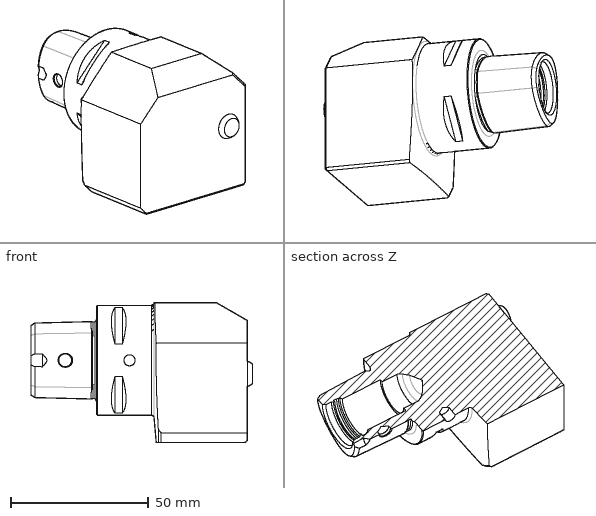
import cadquery as cq
import math


SHANK_LENGTH = 24.0
SHANK_RADIUS = 14.05
SHANK_LOBE_HEIGHT = 1.0
SHANK_TAPER = 0.025
LOBE_HALF_ANGLE = 20
TIP_CHAMFER_LENGTH = 1.45
TIP_CHAMFER_DEPTH = 1.0
NECK_START = 1.85
NECK_LEAD = 0.4
NECK_DEPTH = 0.2

GROOVE_LENGTH = 2.1
GROOVE_RADIUS = 14.1
GROOVE_LEAD = 0.8

FLANGE_RADIUS = 20.0
FLANGE_LENGTH = 19.9
FLANGE_CHAMFER = 0.3
COLLAR_HEIGHT = 0.6
COLLAR_FOOT_RADIUS = 15.75
HEAD_FILLET = 1.0

HEAD_END = 54.9
HEAD_NEAR_SIDE = FLANGE_RADIUS + HEAD_FILLET
HEAD_FAR_SIDE = 30.0
HEAD_CONE_ANGLE = 5
REAR_TOP_BEVEL = 12.1
FRONT_TOP_BEVEL = 14.8
FRONT_BOTTOM_BEVEL = 3.5
SMALL_CHAMFER = 1.0
END_CHAMFER = 0.8
SLOPE_START = 43.6
SLOPE_ANGLE = 30

SLOT_X = 8.0
SLOT_FLOOR_RADIUS = 17.7
SLOT_FLOOR_WIDTH = 2.7
SLOT_FLARE_ANGLE = 30
SLOT_DIRECTIONS = (45, 135, 225, 315)

DRILL_POINT_ANGLE = 118
SHANK_HOLE_X = -11.5
SHANK_HOLE_RADIUS = 2.35
SHANK_HOLE_FLOOR_Y = -11.3
SHANK_HOLE_CHAMFER = 0.3
FLANGE_HOLE_X = 11.95
FLANGE_HOLE_RADIUS = 2.0
FLANGE_HOLE_DEPTH = 4.0

NOTCH_RADIUS = 2.6
NOTCH_Y = -13.6
NOTCH_LENGTH = 4.2

BORE_MOUTH_RADIUS = 10.2
BORE_MOUTH_CHAMFER = 1.05
BORE_ENTRY_RADIUS = 9.45
BORE_ENTRY_END = -20.5
BORE_LAND_RADIUS = 8.9
BORE_LAND_START = -19.95
BORE_GROOVE_START = -19.4
BORE_GROOVE_RADIUS = 9.6
BORE_GROOVE_END = -18.2
BORE_STEP_START = -17.5
BORE_STEP_RADIUS = 9.4
BORE_STEP_END = -16.9
BORE_START = -16.5
BORE_RADIUS = 8.4
BORE_FLOOR_X = 0
PILOT_RADIUS = 7.2
PILOT_END = 6.5
DRILL_RADIUS = 6.2
DRILL_LEAD_ANGLE = 30
DRILL_FLAT_RADIUS = 4.3

NOZZLE_Y = 12.1
NOZZLE_Z = -4.9
NOZZLE_RADIUS = 4.85
NOZZLE_DEPTH = 1.4
NOZZLE_HEIGHT = 1.9


def drill_point_length(radius):
    return radius / math.tan(math.radians(DRILL_POINT_ANGLE / 2))


def revolve_about_x(outline):
    """Turn a closed (x, radius) outline about the X axis."""
    return outline.close().revolve(360, (0, 0, 0), (1, 0, 0))


def shank_section(x, inset=0.0):
    """Closed rounded triangle across the axis, one lobe towards +Y."""
    radius = SHANK_RADIUS + SHANK_TAPER * x - inset

    def point(degrees):
        angle = math.radians(degrees)
        y = radius * math.cos(angle) + SHANK_LOBE_HEIGHT * math.cos(2 * angle)
        z = radius * math.sin(angle) - SHANK_LOBE_HEIGHT * math.sin(2 * angle)
        return cq.Vector(x, y, z)

    def arc(start, end, steps=8):
        points = [point(start + (end - start) * i / steps) for i in range(steps + 1)]
        return cq.Edge.makeSpline(points)

    edges = []
    for lobe in (0, 120, 240):
        lobe_end = lobe + LOBE_HALF_ANGLE
        edges.append(arc(lobe - LOBE_HALF_ANGLE, lobe_end))
        edges.append(arc(lobe_end, lobe + 120 - LOBE_HALF_ANGLE))
    return cq.Wire.assembleEdges(edges)


def make_shank():
    sections = [
        shank_section(-SHANK_LENGTH, TIP_CHAMFER_DEPTH),
        shank_section(-SHANK_LENGTH + TIP_CHAMFER_LENGTH),
        shank_section(-NECK_START),
        shank_section(-NECK_START + NECK_LEAD, NECK_DEPTH),
        shank_section(0, NECK_DEPTH),
    ]
    shank = cq.Workplane(cq.Solid.makeLoft(sections, True))
    groove = revolve_about_x(
        cq.Workplane("XY")
        .moveTo(-GROOVE_LENGTH, GROOVE_RADIUS + GROOVE_LEAD)
        .lineTo(-GROOVE_LENGTH + GROOVE_LEAD, GROOVE_RADIUS)
        .lineTo(0, GROOVE_RADIUS)
        .lineTo(0, FLANGE_RADIUS)
        .lineTo(-GROOVE_LENGTH, FLANGE_RADIUS)
    )
    return shank.cut(groove)


def make_turned_envelope():
    """Collar, flange and the cone behind it, wide enough to hold the whole head."""
    rim_radius = 2 * HEAD_FAR_SIDE
    fillet_end = FLANGE_LENGTH + HEAD_FILLET
    rim_x = fillet_end + (rim_radius - HEAD_NEAR_SIDE) * math.tan(math.radians(HEAD_CONE_ANGLE))
    fillet_offset = HEAD_FILLET * math.sqrt(0.5)
    return revolve_about_x(
        cq.Workplane("XY")
        .moveTo(-COLLAR_HEIGHT, 0)
        .lineTo(HEAD_END, 0)
        .lineTo(HEAD_END, rim_radius)
        .lineTo(rim_x, rim_radius)
        .lineTo(fillet_end, HEAD_NEAR_SIDE)
        .threePointArc(
            (FLANGE_LENGTH + fillet_offset, HEAD_NEAR_SIDE - fillet_offset),
            (FLANGE_LENGTH, FLANGE_RADIUS),
        )
        .lineTo(FLANGE_CHAMFER, FLANGE_RADIUS)
        .lineTo(0, FLANGE_RADIUS - FLANGE_CHAMFER)
        .lineTo(0, COLLAR_FOOT_RADIUS)
        .tangentArcPoint((-COLLAR_HEIGHT, GROOVE_RADIUS), relative=False)
    )


def make_head_prism():
    near = HEAD_NEAR_SIDE
    far = -HEAD_FAR_SIDE
    outline = [
        (near, far + SMALL_CHAMFER),
        (near, near - REAR_TOP_BEVEL),
        (near - REAR_TOP_BEVEL, near),
        (far + FRONT_TOP_BEVEL, near),
        (far, near - FRONT_TOP_BEVEL),
        (far, far + FRONT_BOTTOM_BEVEL),
        (far + FRONT_BOTTOM_BEVEL, far),
        (near - SMALL_CHAMFER, far),
    ]
    return (
        cq.Workplane("YZ", origin=(-COLLAR_HEIGHT, 0, 0))
        .polyline(outline)
        .close()
        .extrude(COLLAR_HEIGHT + HEAD_END)
    )


def make_flange_and_head():
    body = make_turned_envelope().intersect(make_head_prism())
    body = body.faces("<(0,1,1)").edges("<X").chamfer(SMALL_CHAMFER)
    body = body.faces(">X").edges(">Y or <Z or >(0,1,1) or >(0,1,-1)").chamfer(END_CHAMFER)

    slope_length = HEAD_END - SLOPE_START
    slope_drop = slope_length * math.tan(math.radians(SLOPE_ANGLE))
    slope_cut = (
        cq.Workplane("XZ")
        .moveTo(SLOPE_START, HEAD_NEAR_SIDE)
        .lineTo(HEAD_END, HEAD_NEAR_SIDE - slope_drop)
        .lineTo(HEAD_END, HEAD_NEAR_SIDE)
        .close()
        .extrude(HEAD_FAR_SIDE, both=True)
    )
    return body.cut(slope_cut)


def gripper_slot(direction):
    """V-sided groove with a flat floor, square to the given direction around X."""
    depth = FLANGE_RADIUS - SLOT_FLOOR_RADIUS
    floor_half = SLOT_FLOOR_WIDTH / 2
    top_half = floor_half + depth * math.tan(math.radians(SLOT_FLARE_ANGLE))
    return (
        cq.Workplane("XZ")
        .polyline([
            (SLOT_X - floor_half, SLOT_FLOOR_RADIUS),
            (SLOT_X + floor_half, SLOT_FLOOR_RADIUS),
            (SLOT_X + top_half, FLANGE_RADIUS),
            (SLOT_X - top_half, FLANGE_RADIUS),
        ])
        .close()
        .extrude(FLANGE_RADIUS, both=True)
        .rotate((0, 0, 0), (1, 0, 0), direction)
    )


def side_hole(x, radius, floor_y):
    """Hole drilled from the -Y side, with a conical bottom beyond floor_y."""
    return (
        cq.Workplane("XY")
        .moveTo(x, -FLANGE_RADIUS)
        .lineTo(x + radius, -FLANGE_RADIUS)
        .lineTo(x + radius, floor_y)
        .lineTo(x, floor_y + drill_point_length(radius))
        .close()
        .revolve(360, (x, 0, 0), (x, 1, 0))
    )


def shank_hole_chamfer():
    """45 degree cone at the mouth of the hole in the flat side of the shank."""
    side_y = -(SHANK_RADIUS + SHANK_TAPER * SHANK_HOLE_X - SHANK_LOBE_HEIGHT)
    mouth_radius = SHANK_HOLE_RADIUS + SHANK_HOLE_CHAMFER
    return (
        cq.Workplane("XY")
        .moveTo(SHANK_HOLE_X, side_y - SHANK_HOLE_CHAMFER)
        .lineTo(SHANK_HOLE_X + mouth_radius + SHANK_HOLE_CHAMFER, side_y - SHANK_HOLE_CHAMFER)
        .lineTo(SHANK_HOLE_X, side_y + mouth_radius)
        .close()
        .revolve(360, (SHANK_HOLE_X, 0, 0), (SHANK_HOLE_X, 1, 0))
    )


def tip_notch():
    """Axial round notch that ends in a 90 degree cone."""
    end_x = -SHANK_LENGTH + NOTCH_LENGTH
    return (
        cq.Workplane("XY")
        .moveTo(-SHANK_LENGTH, NOTCH_Y)
        .lineTo(-SHANK_LENGTH, NOTCH_Y + NOTCH_RADIUS)
        .lineTo(end_x, NOTCH_Y + NOTCH_RADIUS)
        .lineTo(end_x + NOTCH_RADIUS, NOTCH_Y)
        .close()
        .revolve(360, (0, NOTCH_Y, 0), (1, NOTCH_Y, 0))
    )


def stepped_bore():
    lead_length = (PILOT_RADIUS - DRILL_RADIUS) / math.tan(math.radians(DRILL_LEAD_ANGLE))
    drill_cone_start = PILOT_END + lead_length
    drill_cone_end = drill_cone_start + DRILL_RADIUS - DRILL_FLAT_RADIUS
    return revolve_about_x(
        cq.Workplane("XZ")
        .moveTo(-SHANK_LENGTH, 0)
        .lineTo(-SHANK_LENGTH, BORE_MOUTH_RADIUS)
        .lineTo(-SHANK_LENGTH + BORE_MOUTH_CHAMFER, BORE_ENTRY_RADIUS)
        .lineTo(BORE_ENTRY_END, BORE_ENTRY_RADIUS)
        .lineTo(BORE_LAND_START, BORE_LAND_RADIUS)
        .lineTo(BORE_GROOVE_START, BORE_LAND_RADIUS)
        .lineTo(BORE_GROOVE_START, BORE_GROOVE_RADIUS)
        .lineTo(BORE_GROOVE_END, BORE_GROOVE_RADIUS)
        .lineTo(BORE_STEP_START, BORE_STEP_RADIUS)
        .lineTo(BORE_STEP_END, BORE_STEP_RADIUS)
        .lineTo(BORE_START, BORE_RADIUS)
        .lineTo(BORE_FLOOR_X, BORE_RADIUS)
        .lineTo(BORE_FLOOR_X, PILOT_RADIUS)
        .lineTo(PILOT_END, PILOT_RADIUS)
        .lineTo(drill_cone_start, DRILL_RADIUS)
        .lineTo(drill_cone_end, DRILL_FLAT_RADIUS)
        .lineTo(drill_cone_end + drill_point_length(DRILL_FLAT_RADIUS), 0)
    )


def make_nozzle():
    """Ball with a flat front; the socket of the housing has the same shape."""
    ball = cq.Workplane("XY").sphere(NOZZLE_RADIUS)
    front = (
        cq.Workplane("YZ", origin=(NOZZLE_DEPTH + NOZZLE_HEIGHT, 0, 0))
        .circle(NOZZLE_RADIUS)
        .extrude(NOZZLE_RADIUS)
    )
    return ball.cut(front).translate((HEAD_END - NOZZLE_DEPTH, NOZZLE_Y, NOZZLE_Z))


def make_housing():
    housing = make_flange_and_head().union(make_shank())
    for direction in SLOT_DIRECTIONS:
        housing = housing.cut(gripper_slot(direction))
    housing = housing.cut(side_hole(SHANK_HOLE_X, SHANK_HOLE_RADIUS, SHANK_HOLE_FLOOR_Y))
    housing = housing.cut(shank_hole_chamfer())
    flange_hole_floor = -FLANGE_RADIUS + FLANGE_HOLE_DEPTH
    housing = housing.cut(side_hole(FLANGE_HOLE_X, FLANGE_HOLE_RADIUS, flange_hole_floor))
    housing = housing.cut(tip_notch())
    housing = housing.cut(stepped_bore())
    return housing.cut(make_nozzle())


housing = make_housing()
nozzle = make_nozzle()

result = cq.Compound.makeCompound([housing.val(), nozzle.val()])